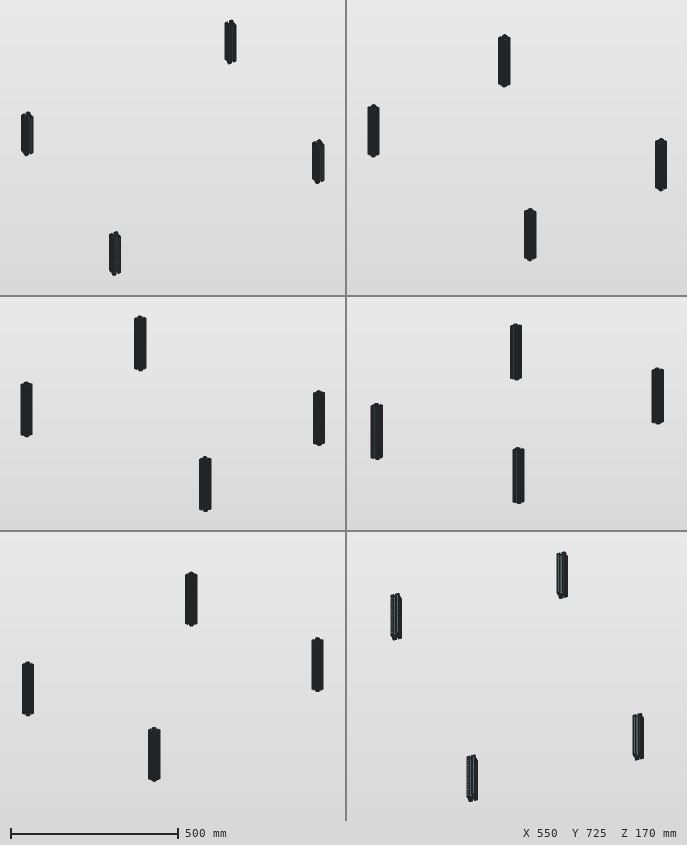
import cadquery as cq

frame_x = 550.0
frame_y = 725.0
post_height = 170.0

mouth_width = 6.6
lip_overhang = 2.0
lip_thickness = 1.7
shoulder_depth = 5.65
floor_margin = 0.4
floor_sag = 0.65
cavity_width = mouth_width + 2 * lip_overhang
floor_width = mouth_width + 2 * floor_margin

corner_block = 7.0
post_side = cavity_width + 2 * corner_block
core_half_width = 5.45
corner_chamfer = 1.0

center_bore_diameter = 5.0
corner_bore_diameter = 4.05
corner_bore_inset = 4.2

quarter_turn = 90


def make_blank():
    """Plain square bar with chamfered long edges."""
    bar = cq.Workplane("XY").rect(post_side, post_side).extrude(post_height)
    return bar.edges("|Z").chamfer(corner_chamfer)


def make_slot():
    """Cutter for the slot in the +Y side: narrow mouth, wide cavity, shallow concave floor."""
    face_y = post_side / 2
    lip_y = face_y - lip_thickness
    shoulder_y = face_y - shoulder_depth
    floor_y = core_half_width
    half_mouth = mouth_width / 2
    half_cavity = cavity_width / 2
    half_floor = floor_width / 2
    return (
        cq.Workplane("XY")
        .moveTo(half_mouth, face_y)
        .lineTo(half_mouth, lip_y)
        .lineTo(half_cavity, lip_y)
        .lineTo(half_cavity, shoulder_y)
        .lineTo(half_floor, floor_y + floor_sag)
        .threePointArc((0, floor_y), (-half_floor, floor_y + floor_sag))
        .lineTo(-half_cavity, shoulder_y)
        .lineTo(-half_cavity, lip_y)
        .lineTo(-half_mouth, lip_y)
        .lineTo(-half_mouth, face_y)
        .close()
        .extrude(post_height)
    )


def make_bores():
    """Cutters for the center bore and the four corner bores."""
    corner_spacing = post_side - 2 * corner_bore_inset
    center_bore = cq.Workplane("XY").circle(center_bore_diameter / 2).extrude(post_height)
    corner_bores = (
        cq.Workplane("XY")
        .rect(corner_spacing, corner_spacing, forConstruction=True)
        .vertices()
        .circle(corner_bore_diameter / 2)
        .extrude(post_height)
    )
    return center_bore, corner_bores


def make_post():
    """One slotted post, centered on the Z axis and standing on Z = 0."""
    post = make_blank()
    slot = make_slot()
    for turn in range(4):
        post = post.cut(slot.rotate((0, 0, 0), (0, 0, 1), turn * quarter_turn))
    for bore in make_bores():
        post = post.cut(bore)
    return post


post_x = (frame_x - post_side) / 2
post_y = (frame_y - post_side) / 2
posts = []
for side_x in (-1, 1):
    for side_y in (-1, 1):
        posts.append(make_post().translate((side_x * post_x, side_y * post_y, 0)))

result = cq.Compound.makeCompound([post.val() for post in posts])